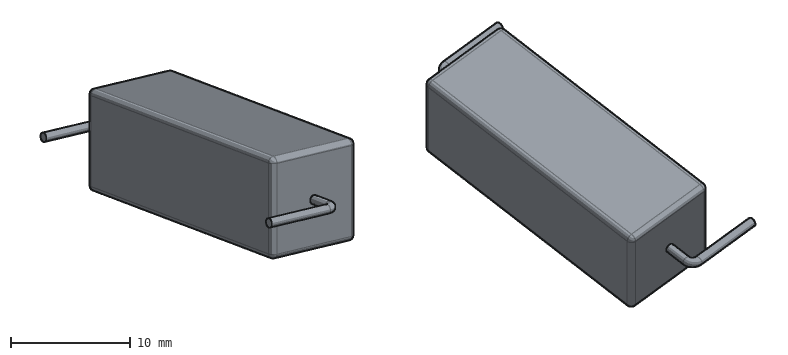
import cadquery as cq

overall_length = 31.28
body_length = 25.0
body_side = 9.0
body_edge_radius = 0.5
lead_diameter = 0.8
bend_radius = 0.75
lead_tip_y = -7.0

lead_x = (overall_length - lead_diameter) / 2
lead_root_x = body_length / 2 - body_edge_radius


def make_body():
    """Square bar with every edge and corner rounded."""
    return cq.Workplane("XY").box(body_length, body_side, body_side).edges().fillet(body_edge_radius)


def make_right_lead():
    """Round wire leaving the +X end face and bent a quarter turn."""
    path = (
        cq.Workplane("XY")
        .moveTo(lead_root_x, 0)
        .lineTo(lead_x - bend_radius, 0)
        .radiusArc((lead_x, -bend_radius), bend_radius)
        .lineTo(lead_x, lead_tip_y)
    )
    section = cq.Workplane("YZ", origin=(lead_root_x, 0, 0)).circle(lead_diameter / 2)
    return section.sweep(path)


right_lead = make_right_lead()
left_lead = right_lead.mirror("YZ")
result = make_body().union(right_lead).union(left_lead)